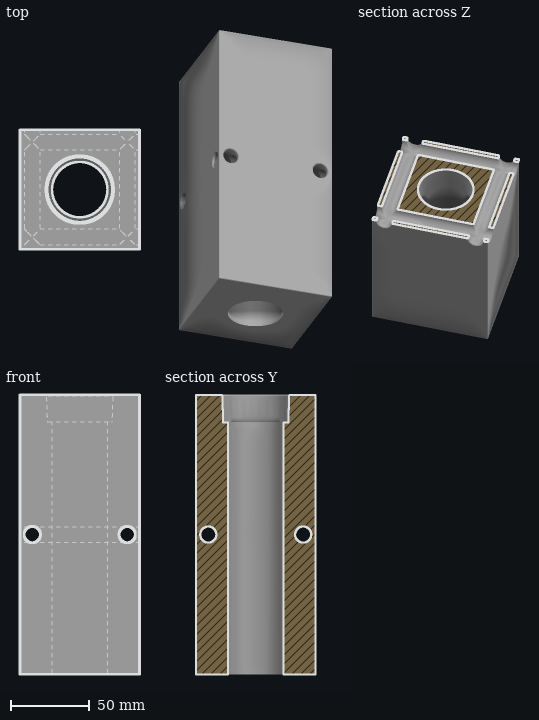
import cadquery as cq

length = 177.8
width = 76.3
edge_chamfer = 0.4

bore_diameter = 35.0
port_depth = 17.5
port_floor_diameter = 41.0
port_mouth_diameter = 42.1
port_chamfer_width = 0.62
port_chamfer_height = 0.9

cross_hole_diameter = 10.0
cross_hole_chamfer = 0.45
cross_hole_spacing = 60.3


def turned(points):
    """Solid made by turning a closed (radius, height) outline about Z."""
    return cq.Workplane("XZ").polyline(points).close().revolve(360, (0, 0, 0), (0, 1, 0))


def make_block():
    """Square bar standing on Z = 0 with all its edges broken."""
    bar = cq.Workplane("XY").rect(width, width).extrude(length)
    return bar.edges().chamfer(edge_chamfer)


def axial_bore():
    """Through bore that opens into a tapered port with a chamfered mouth."""
    bore_radius = bore_diameter / 2
    floor_radius = port_floor_diameter / 2
    mouth_radius = port_mouth_diameter / 2
    floor_height = length - port_depth
    return turned([
        (0, 0),
        (bore_radius, 0),
        (bore_radius, floor_height),
        (floor_radius, floor_height),
        (mouth_radius, length - port_chamfer_height),
        (mouth_radius + port_chamfer_width, length),
        (0, length),
    ])


def cross_hole():
    """Through hole along Z, centred on the origin and chamfered at both ends."""
    radius = cross_hole_diameter / 2
    mouth_radius = radius + cross_hole_chamfer
    half_width = width / 2
    chamfer_start = half_width - cross_hole_chamfer
    return turned([
        (0, -half_width),
        (mouth_radius, -half_width),
        (radius, -chamfer_start),
        (radius, chamfer_start),
        (mouth_radius, half_width),
        (0, half_width),
    ])


result = make_block().cut(axial_bore())

mid_height = length / 2
hole_along_y = cross_hole().rotate((0, 0, 0), (1, 0, 0), 90)
hole_along_x = cross_hole().rotate((0, 0, 0), (0, 1, 0), 90)
for offset in (-cross_hole_spacing / 2, cross_hole_spacing / 2):
    result = result.cut(hole_along_y.translate((offset, 0, mid_height)))
    result = result.cut(hole_along_x.translate((0, offset, mid_height)))